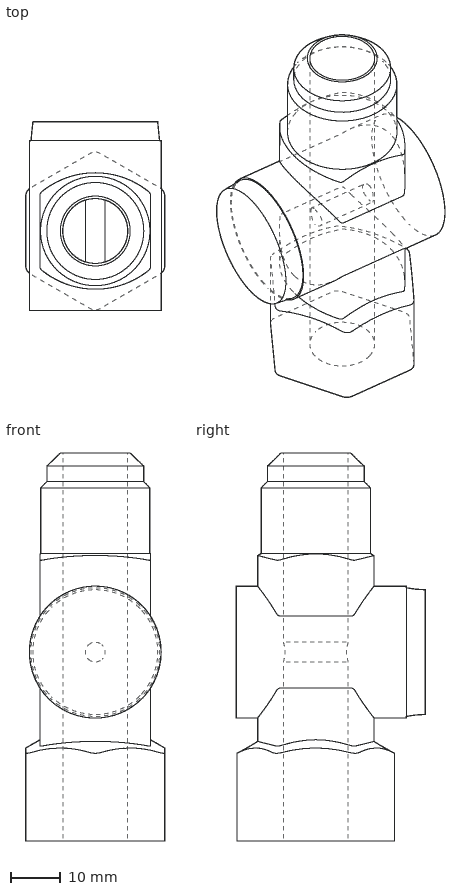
import cadquery as cq
import math

total_height = 78.0
cone_reach = 156.0
bevel_angle = 30
bevel_slope = math.tan(math.radians(bevel_angle))

hex_sides = 6
hex_flats = 28.0
hex_corner_radius = 2.0
hex_shoulder_z = 18.7

neck_flats = 22.2
neck_depth = 23.4
neck_arc_radius = 17.1
neck_corner_radius = 1.0
neck_top_z = 57.8

thread_diameter = 22.0
thread_top_z = 71.0
nose_diameter = 19.5
nose_tip_diameter = 14.05
nose_cone_z = 75.35

barrel_diameter = 26.5
barrel_axis_z = 38.0
barrel_front_y = -16.0
barrel_back_y = 18.2
plug_base_diameter = 25.9
plug_end_diameter = 25.1
plug_end_y = 22.0

bore_diameter = 13.0
pin_diameter = 4.0


def revolve_about_z(points):
    """Turn a closed (radius, z) outline around the Z axis."""
    return cq.Workplane("XZ").polyline(points).close().revolve(360, (0, 0), (0, 1))


def bevel_top(body, radius, z):
    """Keep the part of body under a cone passing through (radius, z)."""
    apex_z = z + radius * bevel_slope
    rim_z = apex_z - cone_reach * bevel_slope
    return body.intersect(revolve_about_z([(0, apex_z), (cone_reach, rim_z), (0, rim_z)]))


def make_hexagon():
    hex_turn = 180 / hex_sides
    corner_distance = hex_flats / math.cos(math.radians(hex_turn))
    stock_height = hex_shoulder_z + hex_flats / 2 * bevel_slope
    stock = (
        cq.Workplane("XY")
        .polygon(hex_sides, corner_distance)
        .extrude(stock_height)
        .rotate((0, 0, 0), (0, 0, 1), hex_turn)
        .edges("|Z")
        .fillet(hex_corner_radius)
    )
    return bevel_top(stock, hex_flats / 2, hex_shoulder_z)


def make_neck():
    half_flats = neck_flats / 2
    crown_y = neck_depth / 2
    corner_y = crown_y - neck_arc_radius + math.sqrt(neck_arc_radius**2 - half_flats**2)
    stock = (
        cq.Workplane("XY")
        .moveTo(half_flats, -corner_y)
        .lineTo(half_flats, corner_y)
        .threePointArc((0, crown_y), (-half_flats, corner_y))
        .lineTo(-half_flats, -corner_y)
        .threePointArc((0, -crown_y), (half_flats, -corner_y))
        .close()
        .extrude(neck_top_z)
        .edges("|Z")
        .fillet(neck_corner_radius)
    )
    return bevel_top(stock, thread_diameter / 2, neck_top_z)


def make_threaded_end():
    thread_radius = thread_diameter / 2
    nose_radius = nose_diameter / 2
    nose_base_z = thread_top_z + thread_radius - nose_radius
    return revolve_about_z([
        (0, barrel_axis_z),
        (thread_radius, barrel_axis_z),
        (thread_radius, thread_top_z),
        (nose_radius, nose_base_z),
        (nose_radius, nose_cone_z),
        (nose_tip_diameter / 2, total_height),
        (0, total_height),
    ])


def make_barrel():
    """Barrel with its slightly tapered plug, turned around the cross axis."""
    return (
        cq.Workplane("XY", origin=(0, 0, barrel_axis_z))
        .polyline([
            (0, barrel_front_y),
            (barrel_diameter / 2, barrel_front_y),
            (barrel_diameter / 2, barrel_back_y),
            (plug_base_diameter / 2, barrel_back_y),
            (plug_end_diameter / 2, plug_end_y),
            (0, plug_end_y),
        ])
        .close()
        .revolve(360, (0, 0), (0, 1))
    )


def make_pin():
    """Pin along Y whose ends stay buried in the barrel walls."""
    return (
        cq.Workplane("XZ", origin=(0, neck_depth / 2, barrel_axis_z))
        .circle(pin_diameter / 2)
        .extrude(neck_depth)
    )


bore = cq.Workplane("XY").circle(bore_diameter / 2).extrude(total_height)

body = make_hexagon().union(make_neck()).union(make_threaded_end()).union(make_barrel())
result = body.cut(bore).union(make_pin())